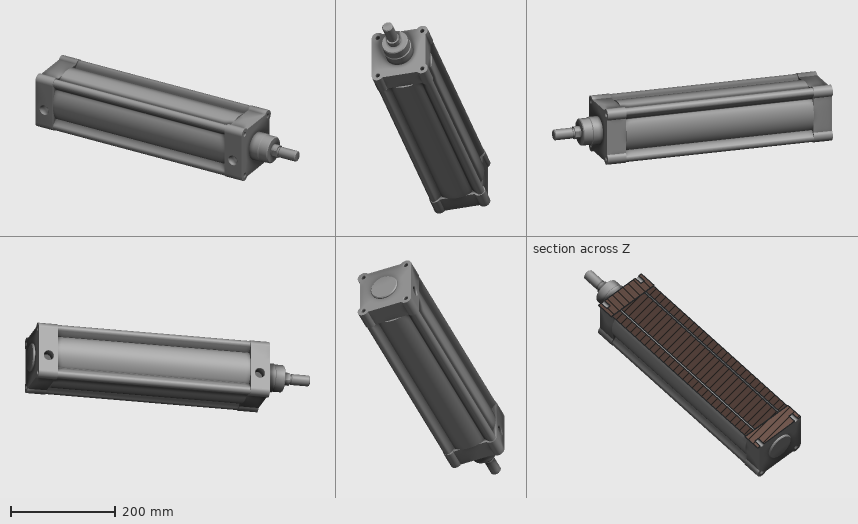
import cadquery as cq
import math


BOSS_LENGTH = 4.0
CAP_LENGTH = 38.0
BARREL_LENGTH = 381.5
REAR_CAP_X = BOSS_LENGTH
BARREL_X = REAR_CAP_X + CAP_LENGTH
FRONT_CAP_X = BARREL_X + BARREL_LENGTH
FRONT_FACE_X = FRONT_CAP_X + CAP_LENGTH

CAP_SIZE = 111.5
SCREW_PITCH = 88.5
SCREW_HOLE_DIAMETER = 8.5
SCREW_HOLE_DEPTH = 16.5
CAP_FLAT = 51.0
LOBE_CENTER = SCREW_PITCH / 2
LOBE_RADIUS = CAP_SIZE / 2 - LOBE_CENTER
PORT_DIAMETER = 19.0
PORT_DEPTH = 22.0
PORT_INSET = 20.0
PORT_Z = -12.0
MOUTH_CHAMFER = 0.85

BOSS_DIAMETER = 55.0
BOSS_CHAMFER = 1.5
COLLAR_LENGTH = 20.0
NOSE_DIAMETER = 52.5
NOSE_LENGTH = 38.5
NOSE_CHAMFER = 1.5

BARREL_RADIUS = 54.0
CROWN_HALF_WIDTH = 31.0
RIB_RADIUS = 8.5
RIB_CENTER = BARREL_RADIUS - RIB_RADIUS
RIB_EDGE_RADIUS = 6.5
RIB_EDGE_ANGLE = 45.0
DIAGONAL_ANGLE = 45.0
FLANK_END = (43.0, 32.0)
GROOVE_FLOOR = (42.0, 30.5)

ROD_DIAMETER = 25.0
WRENCH_FLATS = 22.0
FLATS_START = 40.5
SHOULDER = 51.0
THREAD_START = 53.5
ROD_END = 91.0
NECK_DIAMETER = 19.0
THREAD_DIAMETER = 21.0
THREAD_CHAMFER = 1.5


def cylinder_along_x(diameter, start, end):
    return cq.Workplane("YZ").workplane(offset=start).circle(diameter / 2).extrude(end - start)


def end_cap(start):
    """Square block with round lobes on its corners; the -Y side is flat over its full height."""
    block = (
        cq.Workplane("YZ", origin=(start, 0, 0))
        .rect(2 * CAP_FLAT, 2 * CAP_FLAT)
        .extrude(CAP_LENGTH)
    )
    lobes = (
        cq.Workplane("YZ", origin=(start, 0, 0))
        .rect(SCREW_PITCH, SCREW_PITCH, forConstruction=True)
        .vertices()
        .circle(LOBE_RADIUS)
        .extrude(CAP_LENGTH)
    )
    port_side = (
        cq.Workplane("XY")
        .box(CAP_LENGTH, CAP_SIZE / 2, SCREW_PITCH, centered=(False, False, True))
        .translate((start, -CAP_SIZE / 2, 0))
    )
    return block.union(lobes).union(port_side)


def hole_cutter(mouth, direction, diameter, depth):
    """Flat-bottomed hole with a bevelled mouth, starting at a point and running along a direction."""
    radius = diameter / 2
    half_section = [
        (0, 0),
        (radius + MOUTH_CHAMFER, 0),
        (radius, MOUTH_CHAMFER),
        (radius, depth),
        (0, depth),
    ]
    across = (0, 0, 1)
    normal = cq.Vector(*across).cross(cq.Vector(*direction))
    plane = cq.Plane(origin=mouth, xDir=across, normal=normal)
    return cq.Workplane(plane).polyline(half_section).close().revolve(360, (0, 0), (0, 1))


def cut_holes(cap, face_x, inward):
    """Cut the four corner screw holes and the -Y air port; inward is +1 or -1 along X."""
    for y in (-LOBE_CENTER, LOBE_CENTER):
        for z in (-LOBE_CENTER, LOBE_CENTER):
            mouth = (face_x, y, z)
            cap = cap.cut(hole_cutter(mouth, (inward, 0, 0), SCREW_HOLE_DIAMETER, SCREW_HOLE_DEPTH))
    port_mouth = (face_x + inward * PORT_INSET, -CAP_SIZE / 2, PORT_Z)
    return cap.cut(hole_cutter(port_mouth, (0, 1, 0), PORT_DIAMETER, PORT_DEPTH))


def make_rear_cap():
    boss = cylinder_along_x(BOSS_DIAMETER, 0, BOSS_LENGTH).faces("<X").chamfer(BOSS_CHAMFER)
    return cut_holes(end_cap(REAR_CAP_X).union(boss), REAR_CAP_X, 1)


def make_front_cap():
    collar = cylinder_along_x(BOSS_DIAMETER, FRONT_FACE_X, FRONT_FACE_X + COLLAR_LENGTH)
    nose = cylinder_along_x(NOSE_DIAMETER, FRONT_FACE_X, FRONT_FACE_X + NOSE_LENGTH)
    collar = collar.faces(">X").chamfer((BOSS_DIAMETER - NOSE_DIAMETER) / 2)
    nose = nose.faces(">X").chamfer(NOSE_CHAMFER)
    rod_bore = cylinder_along_x(ROD_DIAMETER, FRONT_CAP_X, FRONT_FACE_X + NOSE_LENGTH)
    cap = end_cap(FRONT_CAP_X).union(collar).union(nose).cut(rod_bore)
    return cut_holes(cap, FRONT_FACE_X, -1)


def quarter_turn(point, turns):
    """Rotate a (y, z) point about the axis by whole quarter turns."""
    y, z = point
    for _ in range(turns):
        y, z = -z, y
    return y, z


def on_circle(center, radius, degrees):
    angle = math.radians(degrees)
    return center[0] + radius * math.cos(angle), center[1] + radius * math.sin(angle)


def mirrored(point):
    """Reflect a (y, z) point across the corner diagonal."""
    return point[1], point[0]


def make_barrel():
    """Round barrel with a rib along each corner and a groove on both sides of every rib."""
    axis = (0, 0)
    crown_angle = math.degrees(math.asin(CROWN_HALF_WIDTH / BARREL_RADIUS))
    crown_middle = on_circle(axis, BARREL_RADIUS, crown_angle / 2)
    crown_end = on_circle(axis, BARREL_RADIUS, crown_angle)
    edge_center = (BARREL_RADIUS - RIB_EDGE_RADIUS, RIB_CENTER)
    flank_start = on_circle(edge_center, RIB_EDGE_RADIUS, -RIB_EDGE_ANGLE)
    edge_middle = on_circle(edge_center, RIB_EDGE_RADIUS, -RIB_EDGE_ANGLE / 2)
    rib_side = (BARREL_RADIUS, RIB_CENTER)
    rib_tip = on_circle((RIB_CENTER, RIB_CENTER), RIB_RADIUS, DIAGONAL_ANGLE)

    profile = cq.Workplane("YZ", origin=(BARREL_X, 0, 0)).moveTo(BARREL_RADIUS, 0)
    for turns in range(4):
        def place(point):
            return quarter_turn(point, turns)

        profile = (
            profile
            .threePointArc(place(crown_middle), place(crown_end))
            .threePointArc(place(GROOVE_FLOOR), place(FLANK_END))
            .lineTo(*place(flank_start))
            .threePointArc(place(edge_middle), place(rib_side))
            .threePointArc(place(rib_tip), place(mirrored(rib_side)))
            .threePointArc(place(mirrored(edge_middle)), place(mirrored(flank_start)))
            .lineTo(*place(mirrored(FLANK_END)))
            .threePointArc(place(mirrored(GROOVE_FLOOR)), place(mirrored(crown_end)))
            .threePointArc(place(mirrored(crown_middle)), place((0, BARREL_RADIUS)))
        )
    return profile.close().extrude(BARREL_LENGTH)


def make_piston_rod():
    shoulder_x = FRONT_FACE_X + SHOULDER
    thread_x = FRONT_FACE_X + THREAD_START
    flats_x = FRONT_FACE_X + FLATS_START
    shank = cylinder_along_x(ROD_DIAMETER, FRONT_CAP_X, shoulder_x)
    for side in (-1, 1):
        waste = (
            cq.Workplane("XY")
            .box(shoulder_x - flats_x, ROD_DIAMETER, ROD_DIAMETER, centered=(False, True, True))
            .translate((flats_x, side * (WRENCH_FLATS + ROD_DIAMETER) / 2, 0))
        )
        shank = shank.cut(waste)
    neck = cylinder_along_x(NECK_DIAMETER, shoulder_x, thread_x)
    thread = cylinder_along_x(THREAD_DIAMETER, thread_x, FRONT_FACE_X + ROD_END)
    thread = thread.faces("<X or >X").chamfer(THREAD_CHAMFER)
    return shank.union(neck).union(thread)


rear_cap = make_rear_cap()
front_cap = make_front_cap()
barrel = make_barrel()
piston_rod = make_piston_rod()

result = cq.Compound.makeCompound([
    rear_cap.val(),
    front_cap.val(),
    barrel.val(),
    piston_rod.val(),
])